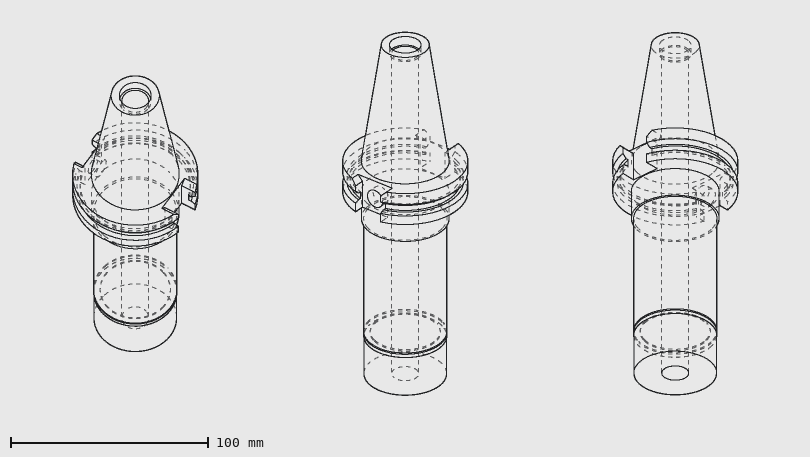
import cadquery as cq

total_height = 195.2
collar_bottom = 92.2
flange_bottom = 108.0
flange_top = 126.3

body_radius = 21.0
collar_radius = 22.3
flange_diameter = 63.5
flange_radius = flange_diameter / 2
taper_top_diameter = 24.5
taper_top_radius = taper_top_diameter / 2
gauge_band_height = 0.5

groove_center = 116.0
groove_floor_radius = 28.0
groove_shoulder_radius = 29.5
groove_half_width = 2.0
upper_bevel_height = 2.0
lower_bevel_height = 1.0

land_bottom = 22.5
land_step = 0.1
ring_groove_bottom = 24.5
ring_groove_top = 25.2
ring_groove_depth = 3.3

bore_radius = 6.8
counterbore_radius = 8.0
counterbore_depth = 5.0

slot_width = 16.0
left_slot_floor = -25.0
right_slot_floor = 22.6
slot_bevel = 3.0

chip_radius = 4.9
chip_depth = 4.7


def make_turned_blank():
    groove_top = groove_center + groove_half_width
    groove_bottom = groove_center - groove_half_width
    nose_radius = body_radius - land_step
    ring_radius = body_radius - ring_groove_depth
    outline = [
        (0, 0),
        (nose_radius, 0),
        (nose_radius, land_bottom),
        (body_radius, land_bottom),
        (body_radius, ring_groove_bottom),
        (ring_radius, ring_groove_bottom),
        (ring_radius, ring_groove_top),
        (body_radius, ring_groove_top),
        (body_radius, collar_bottom),
        (collar_radius, collar_bottom),
        (collar_radius, flange_bottom),
        (flange_radius, flange_bottom),
        (flange_radius, groove_bottom - lower_bevel_height),
        (groove_shoulder_radius, groove_bottom),
        (groove_floor_radius, groove_bottom),
        (groove_floor_radius, groove_top),
        (groove_shoulder_radius, groove_top),
        (flange_radius, groove_top + upper_bevel_height),
        (flange_radius, flange_top),
        (collar_radius, flange_top),
        (collar_radius, flange_top + gauge_band_height),
        (taper_top_radius, total_height),
        (0, total_height),
    ]
    return cq.Workplane("XZ").polyline(outline).close().revolve(360, (0, 0, 0), (0, 1, 0))


def make_bore():
    bore = cq.Workplane("XY").circle(bore_radius).extrude(total_height)
    counterbore = (
        cq.Workplane("XY")
        .workplane(offset=total_height - counterbore_depth)
        .circle(counterbore_radius)
        .extrude(counterbore_depth)
    )
    return bore.union(counterbore)


def make_drive_slot(floor, outer):
    """Cutter for a slot with a bevelled top mouth, running in X from its floor to the flange rim."""
    half_width = slot_width / 2
    mouth_half_width = half_width + slot_bevel
    outline = [
        (-half_width, flange_bottom),
        (half_width, flange_bottom),
        (half_width, flange_top - slot_bevel),
        (mouth_half_width, flange_top),
        (-mouth_half_width, flange_top),
        (-half_width, flange_top - slot_bevel),
    ]
    return (
        cq.Workplane("YZ")
        .workplane(offset=floor)
        .polyline(outline)
        .close()
        .extrude(outer - floor)
    )


def make_data_chip():
    return (
        cq.Workplane("YZ")
        .workplane(offset=left_slot_floor)
        .center(0, groove_center)
        .circle(chip_radius)
        .extrude(chip_depth)
    )


data_chip = make_data_chip()

tool_holder = make_turned_blank().cut(make_bore())
for floor, outer in ((left_slot_floor, -flange_radius), (right_slot_floor, flange_radius)):
    tool_holder = tool_holder.cut(make_drive_slot(floor, outer))
tool_holder = tool_holder.cut(data_chip)

result = cq.Compound.makeCompound([tool_holder.val(), data_chip.val()])